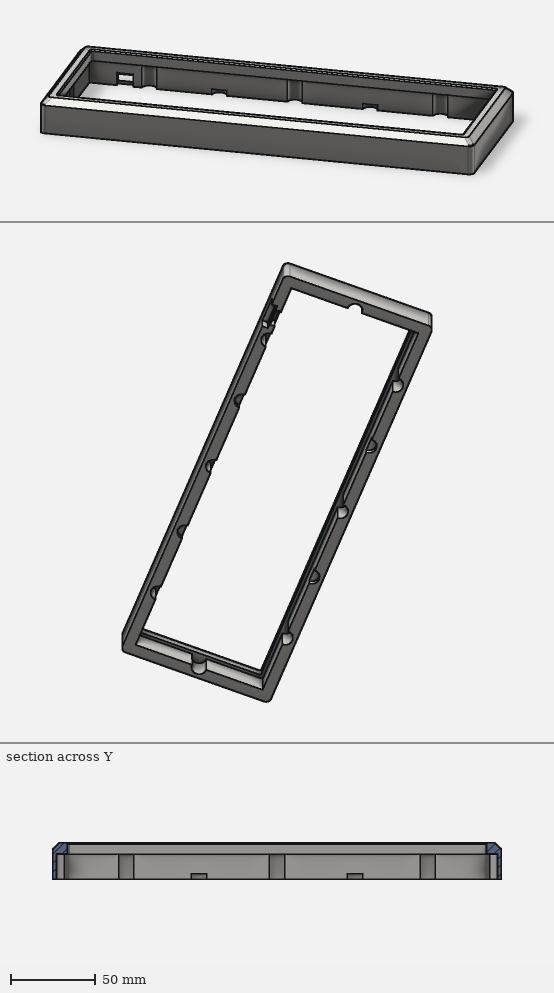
import cadquery as cq

length = 266.0
width = 94.7
height = 21.8
corner_radius = 3.2
outer_chamfer = 4.0

wall = 7.0
lip_overhang = 1.95
lip_thickness = 7.0
lip_corner_diameter = 2.0
lip_chamfer = 0.88

notch_radius = 4.5
tall_notch_spacing = 89.5
low_notch_offset = 46.3
low_notch_height = 3.5

port_center_x = -104.3
port_length = 10.0
recess_depth = 3.0
port_height = 8.0
web_thickness = 0.5
pocket_length = 15.5
window_bottom = 1.9
window_height = 4.3

cavity_length = length - 2 * wall
cavity_width = width - 2 * wall
cavity_height = height - lip_thickness


def make_block():
    """Solid block with a chamfered top and every upright or mitred corner edge rounded."""
    block = cq.Workplane("XY").box(length, width, height, centered=(True, True, False))
    block = block.faces(">Z").edges().chamfer(outer_chamfer)
    corner_edges = block.edges("not(#Z or |X or |Y)").add(block.edges("|Z"))
    return corner_edges.fillet(corner_radius)


def cut_opening(body):
    """Cut the lip opening through the top and chamfer its upper rim."""
    opening_length = cavity_length - 2 * lip_overhang
    opening_width = cavity_width - 2 * lip_overhang
    opening = cq.Workplane("XY").rect(opening_length, opening_width).extrude(height)
    opening = opening.edges("|Z").fillet(lip_corner_diameter / 2)
    rim = cq.selectors.BoxSelector(
        (-cavity_length / 2, -cavity_width / 2, cavity_height),
        (cavity_length / 2, cavity_width / 2, height),
    )
    return body.cut(opening).faces(">Z").edges(rim).chamfer(lip_chamfer)


def make_notches(centers, notch_height):
    return cq.Workplane("XY").pushPoints(centers).circle(notch_radius).extrude(notch_height)


def make_port_block(block_length, y_start, y_end, z_start, block_height):
    block = cq.Workplane("XY").box(block_length, y_end - y_start, block_height, centered=(True, False, False))
    return block.translate((port_center_x, y_start, z_start))


def make_port():
    inner_face = cavity_width / 2
    web_inner = inner_face + recess_depth
    web_outer = web_inner + web_thickness
    recess = make_port_block(port_length, inner_face, web_inner, 0, port_height)
    pocket = make_port_block(pocket_length, web_outer, width / 2, 0, port_height)
    window = make_port_block(port_length, inner_face, width / 2, window_bottom, window_height)
    return recess.union(pocket).union(window)


sides = (-1, 1)
tall_centers = [(step * tall_notch_spacing, side * cavity_width / 2) for step in (-1, 0, 1) for side in sides]
tall_centers += [(side * cavity_length / 2, 0) for side in sides]
low_centers = [(end * low_notch_offset, side * cavity_width / 2) for end in sides for side in sides]

frame = cut_opening(make_block())
frame = frame.cut(cq.Workplane("XY").rect(cavity_length, cavity_width).extrude(cavity_height))
frame = frame.cut(make_notches(tall_centers, cavity_height))
frame = frame.cut(make_notches(low_centers, low_notch_height))
result = frame.cut(make_port())